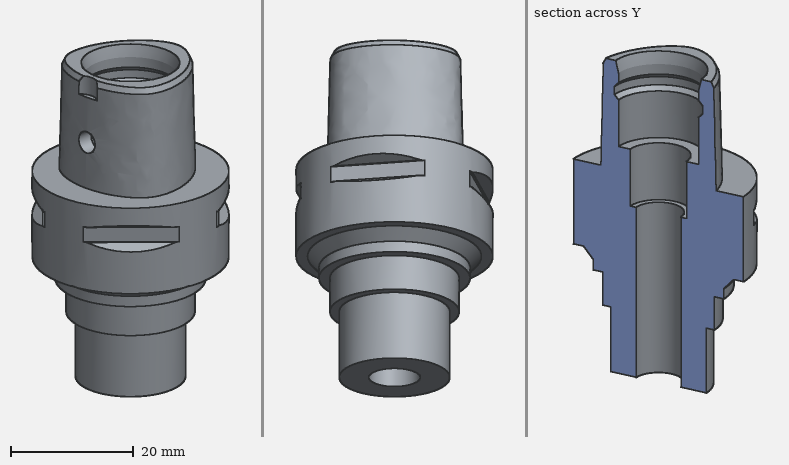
import cadquery as cq
import math

nose_height = 11.4
shoulder_height = 5.85
collar_height = 1.8
cone_height = 2.0
flange_height = 15.0
taper_height = 19.0

nose_diameter = 18.0
shoulder_diameter = 21.0
collar_diameter = 24.6
cone_diameter = 28.25
flange_diameter = 32.0

shoulder_base = nose_height
collar_base = shoulder_base + shoulder_height
cone_base = collar_base + collar_height
flange_base = cone_base + cone_height
flange_top = flange_base + flange_height
part_top = flange_top + taper_height

taper_base_width = 22.15
taper_ratio = 1 / 20
lobe_height = 0.7
rim_height = 1.0
rim_inset = 0.5

mouth_diameter = 16.0
mouth_depth = 2.1
bore_diameter = 14.95
bore_depth = 15.0
step_diameter = 10.5
step_depth = 25.0
through_diameter = 8.35

groove_depth = 3.85
groove_width = 2.95
groove_diameter = 16.5

slot_count = 4
slot_first_angle = 45
slot_flat_distance = 13.95
slot_flat_height = 2.65
slot_flat_top = 4.05
slot_ledge = 0.35
slot_flank_angle = 30

notch_radius = 3.0
notch_centre_distance = 12.0
notch_depth = 3.2
cross_hole_diameter = 3.7
cross_hole_depth = 11.0


def turned_body():
    """Solid of revolution from the bottom end to the top of the flange."""
    outline = [
        (0, 0),
        (nose_diameter / 2, 0),
        (nose_diameter / 2, shoulder_base),
        (shoulder_diameter / 2, shoulder_base),
        (shoulder_diameter / 2, collar_base),
        (collar_diameter / 2, collar_base),
        (collar_diameter / 2, cone_base),
        (cone_diameter / 2, flange_base),
        (flange_diameter / 2, flange_base),
        (flange_diameter / 2, flange_top),
        (0, flange_top),
    ]
    return cq.Workplane("XZ").polyline(outline).close().revolve(360, (0, 0), (0, 1))


def lobed_wire(width, z):
    """Closed three-lobed curve of constant width, starting at -Y."""

    def point(t):
        angle = 2 * math.pi * t - math.pi / 2
        lobe_angle = 3 * (angle - math.pi / 2)
        support = width / 2 + lobe_height * math.cos(lobe_angle)
        slope = -3 * lobe_height * math.sin(lobe_angle)
        return (
            support * math.cos(angle) - slope * math.sin(angle),
            support * math.sin(angle) + slope * math.cos(angle),
            z,
        )

    samples = 48
    points = [cq.Vector(*point(i / samples)) for i in range(samples)]
    return cq.Wire.assembleEdges([cq.Edge.makeSpline(points, periodic=True)])


def lobed_taper():
    """Tapered shank with the broken edge at its top end."""
    rim_base = part_top - rim_height
    rim_width = taper_base_width - taper_ratio * (taper_height - rim_height)
    top_width = rim_width - 2 * rim_inset
    base_wire = lobed_wire(taper_base_width, flange_top)
    rim_wire = lobed_wire(rim_width, rim_base)
    top_wire = lobed_wire(top_width, part_top)
    shank = cq.Solid.makeLoft([base_wire, rim_wire], True)
    rim = cq.Solid.makeLoft([rim_wire, top_wire], True)
    return cq.Workplane(shank).union(cq.Workplane(rim))


def stepped_bore():
    """Material removed along the axis, clamping groove included."""
    flank = (groove_diameter - bore_diameter) / 2
    groove_top = part_top - groove_depth
    groove_bottom = groove_top - groove_width
    outline = [
        (0, part_top),
        (mouth_diameter / 2, part_top),
        (bore_diameter / 2, part_top - mouth_depth),
        (bore_diameter / 2, groove_top),
        (groove_diameter / 2, groove_top - flank),
        (groove_diameter / 2, groove_bottom + flank),
        (bore_diameter / 2, groove_bottom),
        (bore_diameter / 2, part_top - bore_depth),
        (step_diameter / 2, part_top - bore_depth),
        (step_diameter / 2, part_top - step_depth),
        (through_diameter / 2, part_top - step_depth),
        (through_diameter / 2, 0),
        (0, 0),
    ]
    return cq.Workplane("XZ").polyline(outline).close().revolve(360, (0, 0), (0, 1))


def gripper_slot(angle):
    """Flat-bottomed slot with level ledges and flared flanks, as long as the chord cut by its flat."""
    outer = flange_diameter / 2
    flat_top = flange_top - slot_flat_top
    flat_bottom = flat_top - slot_flat_height
    flank_start = slot_flat_distance + slot_ledge
    flare = (outer - flank_start) * math.tan(math.radians(slot_flank_angle))
    length = 2 * math.sqrt(outer**2 - slot_flat_distance**2)
    profile = [
        (slot_flat_distance, flat_bottom),
        (flank_start, flat_bottom),
        (outer, flat_bottom - flare),
        (outer, flat_top + flare),
        (flank_start, flat_top),
        (slot_flat_distance, flat_top),
    ]
    slot = cq.Workplane("XZ").polyline(profile).close().extrude(length / 2, both=True)
    return slot.rotate((0, 0, 0), (0, 0, 1), angle)


def rim_notch():
    """Round-backed notch cut down into the rim."""
    return (
        cq.Workplane("XY", origin=(0, -notch_centre_distance, part_top - notch_depth))
        .circle(notch_radius)
        .extrude(notch_depth)
    )


def cross_hole():
    """Radial hole from the -Y side into the bore."""
    return (
        cq.Workplane("XZ", origin=(0, 0, part_top - cross_hole_depth))
        .circle(cross_hole_diameter / 2)
        .extrude(flange_diameter / 2)
    )


result = turned_body().union(lobed_taper())
result = result.cut(stepped_bore()).cut(rim_notch()).cut(cross_hole())
for index in range(slot_count):
    result = result.cut(gripper_slot(slot_first_angle + index * 360 / slot_count))